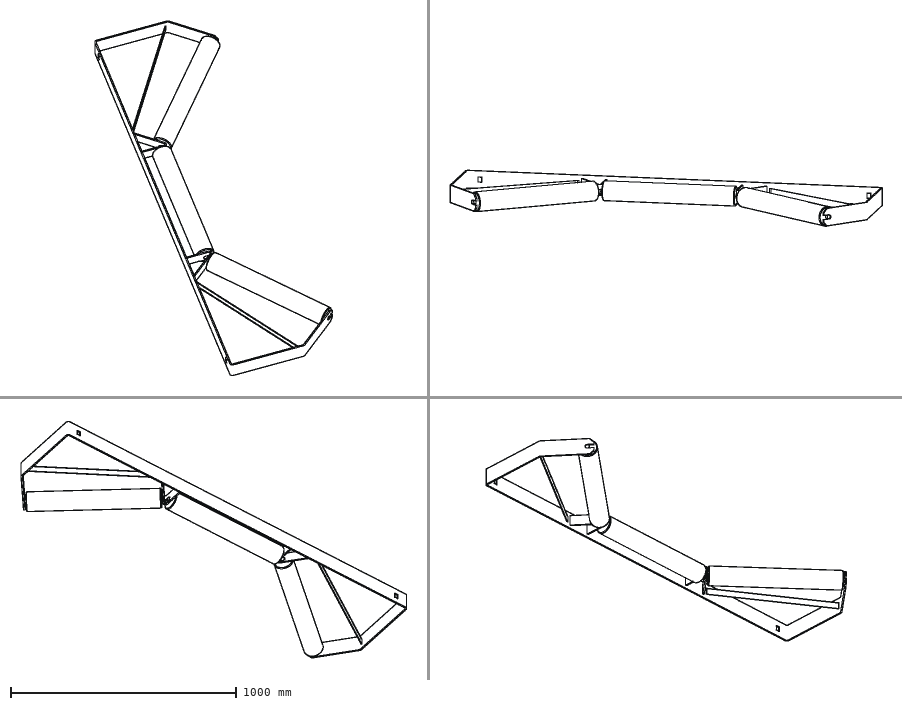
import cadquery as cq
import math

strip_thickness = 6.6

frame_width = 1890.0
strip_height = 80.0
knee_height = 345.0
tip_height = 531.0
frame_bend_radius = 10.0
tip_chamfer = 19.0
hole_x = 883.0
hole_width = 17.0
hole_height = 23.0

trough_angle = math.radians(40)
roller_diameter = 89.0
roller_length = 601.0
rim_chamfer = 4.0
shaft_diameter = 19.0
shaft_length = 624.0
centre_roller_y = 98.0
wing_centre_x = 569.0
wing_centre_y = 306.0
wing_drop = 8.0

post_x = 308.0
leg_foot_x = 415.0
bracket_bend_radius = 8.0
bracket_height = 50.0

brace_thickness = 4.0
brace_height = 30.0
brace_foot_x = 433.0
brace_top_y = 335.0

half_thickness = strip_thickness / 2
side_x = frame_width / 2 - half_thickness
side_inner_x = frame_width / 2 - strip_thickness
knee_y = knee_height - half_thickness * math.tan(trough_angle / 2)
tip_y = tip_height - half_thickness * math.sin(trough_angle)
tip_x = side_x - (tip_y - knee_y) * math.tan(trough_angle)
bracket_apex_y = strip_thickness + (leg_foot_x - post_x) / math.tan(trough_angle)
wing_tilt = math.asin(wing_drop / roller_length)
brace_angle = math.atan2(brace_top_y - strip_thickness, side_inner_x - brace_foot_x)
slot_cutter_length = shaft_length + 2 * strip_thickness
sides = (-1, 1)


def bent_strip(points, bend_radius, height):
    """Flat bar on edge whose middle line runs through the points, with rounded bends."""
    corners = [cq.Vector(x, y, 0) for x, y in points]
    polygon = cq.Wire.makePolygon(corners)
    middle_line = polygon.fillet(bend_radius, polygon.Vertices()[1:-1])
    start = cq.Plane(origin=corners[0], xDir=(0, 0, 1), normal=corners[1] - corners[0])
    section = cq.Workplane(start).rect(height, strip_thickness)
    return section.sweep(cq.Workplane(middle_line))


def wing_plane(side):
    """Plane at the middle of a wing roller, its normal outward along the axis, X up the flange."""
    level = math.cos(wing_tilt)
    outward = (side * math.cos(trough_angle) * level, math.sin(trough_angle) * level, math.sin(wing_tilt))
    up_flange = (-side * math.sin(trough_angle), math.cos(trough_angle), 0)
    middle = (side * wing_centre_x, wing_centre_y, -wing_drop / 2)
    return cq.Plane(origin=middle, xDir=up_flange, normal=outward)


def centre_plane():
    """Plane at the middle of the centre roller, its normal along the axis, X up the posts."""
    return cq.Plane(origin=(0, centre_roller_y, -wing_drop), xDir=(0, 1, 0), normal=(1, 0, 0))


def rod(plane, diameter, length):
    """Round rod along the plane's normal, centred on the plane."""
    return cq.Workplane(plane).workplane(offset=-length / 2).circle(diameter / 2).extrude(length)


def make_roller(plane):
    """Roller with chamfered rims and a shaft that sticks out at both ends."""
    drum = rod(plane, roller_diameter, roller_length).edges("%CIRCLE").chamfer(rim_chamfer)
    return drum.union(rod(plane, shaft_diameter, shaft_length))


def shaft_slots(plane, length):
    """Cutter for round-bottomed slots in which a shaft drops in from the strip's end."""
    mouth_depth = roller_diameter
    mouth = (
        cq.Workplane(plane)
        .workplane(offset=-length / 2)
        .center(mouth_depth / 2, 0)
        .rect(mouth_depth, shaft_diameter)
        .extrude(length)
    )
    return rod(plane, shaft_diameter, length).union(mouth)


def chamfer_tip(frame, side):
    """Cut the two corners of a flange's free end."""
    corner_edges = cq.selectors.BoxSelector(
        (side * (tip_x - strip_thickness), tip_y - strip_thickness, -strip_height),
        (side * (tip_x + strip_thickness), tip_y + strip_thickness, strip_height),
    )
    across_thickness = cq.selectors.ParallelDirSelector(
        cq.Vector(side * math.cos(trough_angle), math.sin(trough_angle), 0)
    )
    return frame.edges(corner_edges).edges(across_thickness).chamfer(tip_chamfer)


def make_frame():
    """Bent bar with chamfered, slotted flange ends and two mounting holes in the base."""
    frame = bent_strip(
        [
            (-tip_x, tip_y),
            (-side_x, knee_y),
            (-side_x, half_thickness),
            (side_x, half_thickness),
            (side_x, knee_y),
            (tip_x, tip_y),
        ],
        frame_bend_radius,
        strip_height,
    )
    for side in sides:
        frame = chamfer_tip(frame, side)
        frame = frame.cut(shaft_slots(wing_plane(side), slot_cutter_length))
    holes = (
        cq.Workplane("XZ")
        .pushPoints([(side * hole_x, 0) for side in sides])
        .rect(hole_width, hole_height)
        .extrude(-strip_thickness)
    )
    return frame.cut(holes)


def make_bracket(side):
    """Post and leg in one bent strip, both feet cut flush with the base bar's inner face."""
    leg_end_x = leg_foot_x + half_thickness * math.tan(trough_angle)
    bracket = bent_strip(
        [
            (side * post_x, half_thickness),
            (side * post_x, bracket_apex_y),
            (side * leg_end_x, half_thickness),
        ],
        bracket_bend_radius,
        bracket_height,
    )
    base_bar = cq.Workplane("XY").box(frame_width, strip_thickness, strip_height)
    bracket = bracket.cut(base_bar.translate((0, half_thickness, 0)))
    for plane in (centre_plane(), wing_plane(side)):
        bracket = bracket.cut(shaft_slots(plane, slot_cutter_length))
    return bracket


def make_brace(side):
    """Flat bar on edge, its ends cut flush with the base bar and the side."""
    foot_length = brace_thickness / math.sin(brace_angle)
    top_length = brace_thickness / math.cos(brace_angle)
    return (
        cq.Workplane("XY")
        .workplane(offset=-brace_height / 2)
        .moveTo(side * brace_foot_x, strip_thickness)
        .lineTo(side * (brace_foot_x + foot_length), strip_thickness)
        .lineTo(side * side_inner_x, brace_top_y - top_length)
        .lineTo(side * side_inner_x, brace_top_y)
        .close()
        .extrude(brace_height)
    )


frame = make_frame()
brackets = [make_bracket(side) for side in sides]
braces = [make_brace(side) for side in sides]
rollers = [make_roller(plane) for plane in (wing_plane(-1), centre_plane(), wing_plane(1))]

result = cq.Compound.makeCompound([
    frame.val(),
    *[bracket.val() for bracket in brackets],
    *[brace.val() for brace in braces],
    *[roller.val() for roller in rollers],
])